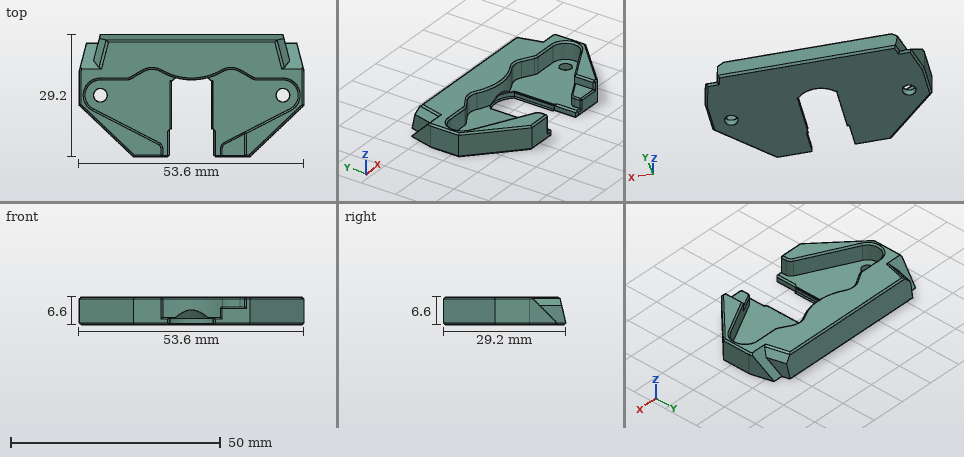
import cadquery as cq
import math

width = 53.59
height = 6.6
front_y = -14.67
back_y = 14.52
half_width = width / 2
base_chamfer = 0.5
rim_chamfer = 0.45
inner_chamfer = 0.36

body_back_y = 6.3
side_front_y = -2.4
side_back_y = 5.8
front_half_width = 13.9

plan_taper = math.radians(14.5)
wedge_back_y = body_back_y + height - base_chamfer

tongue_back_half_width = 21.76
tongue_bevel = 1.95
tongue_chamfer = 0.4
back_draft = math.radians(13.2)

floor_z = 1.75
hole_x = 21.75
hole_diameter = 3.2
end_radius = 3.65
wave_slope = math.radians(30)
bump_x = 9.42
bump_radius = 4.1
foot_corner_radius = 2.0
flank_slope = math.radians(27.2)
mouth_half_width = 6.87
mouth_corner_radius = 1.75

step_x = 12.6
step_z = 4.3

slot_half_width = 5.1
slot_front_half_width = 5.25
slot_step_y = -8.0
slot_arc_radius = 6.7
slot_arc_y = -0.95
lip_size = 0.33
side_bevel = 0.28
cone_base_z = floor_z - side_bevel
slot_shoulder_y = slot_arc_y + math.sqrt(slot_arc_radius**2 - slot_half_width**2)
slot_overlap_y = slot_step_y - 1.0

OVERLAP = 1.0
FAR = 2 * width
TOLERANCE = 0.01


def mirrored(points):
    """Close a right-hand point list with its mirror image."""
    return points + [(-x, y) for x, y in reversed(points)]


def tapered_half_width(half_width_at_start, length):
    return half_width_at_start - length * math.tan(plan_taper)


def prism(points, z_bottom, z_top):
    return cq.Workplane("XY").workplane(offset=z_bottom).polyline(points).close().extrude(z_top - z_bottom)


body_back_half_width = tapered_half_width(half_width, body_back_y - side_back_y)
front_corners = [
    (front_half_width, front_y),
    (half_width, side_front_y),
    (half_width, side_back_y),
    (body_back_half_width, body_back_y),
]
wedge_back_half_width = tapered_half_width(half_width, wedge_back_y - side_back_y)
tongue_front_half_width = tapered_half_width(tongue_back_half_width, body_back_y - back_y)


def make_base_band():
    """Lowest band of the part, shrinking downwards at 45 degrees."""
    tongue_at_wedge = tapered_half_width(tongue_back_half_width, wedge_back_y - back_y)
    rear_corners = [
        (wedge_back_half_width, wedge_back_y),
        (tongue_at_wedge, wedge_back_y),
        (tongue_back_half_width, back_y),
    ]
    outline = mirrored(front_corners + rear_corners)
    band = cq.Workplane("XY").workplane(offset=base_chamfer).polyline(outline).close()
    return band.extrude(-base_chamfer, taper=45)


def make_wedges():
    """Ramps on both sides of the tongue, falling backwards from the top of the body."""
    plan = mirrored([(body_back_half_width, body_back_y), (wedge_back_half_width, wedge_back_y)])
    profile = [(body_back_y, base_chamfer), (wedge_back_y, base_chamfer), (body_back_y, height)]
    ramp = cq.Workplane("YZ").polyline(profile).close().extrude(half_width, both=True)
    return prism(plan, base_chamfer, height).intersect(ramp)


def make_tongue():
    """Rear tongue with a sloping back and bevelled sides."""
    plan = mirrored([(tongue_front_half_width, body_back_y), (tongue_back_half_width, back_y)])
    top_back_y = back_y - (height - base_chamfer) * math.tan(back_draft)
    profile = [
        (body_back_y, base_chamfer),
        (back_y, base_chamfer),
        (top_back_y, height),
        (body_back_y, height),
    ]
    side = cq.Workplane("YZ").polyline(profile).close().extrude(half_width, both=True)
    tongue = prism(plan, base_chamfer, height)
    tongue = tongue.faces(">Z").edges("not #Y").edges("not |X").chamfer(tongue_bevel)
    tongue = tongue.intersect(side)
    return tongue.faces(">Z").edges("not <Y").chamfer(tongue_chamfer)


def round_corner(body, x, y, radius):
    """Fillet the upright edge that stands at (x, y)."""
    low = (x - TOLERANCE, y - TOLERANCE, 0)
    high = (x + TOLERANCE, y + TOLERANCE, FAR)
    at_corner = cq.selectors.BoxSelector(low, high)
    return body.edges("|Z").edges(at_corner).fillet(radius)


def make_pocket():
    """Pocket outline, traced from the front right corner over the wave to the front left corner."""
    bump_dx = bump_radius * math.sin(wave_slope)
    arc_drop = 1 - math.cos(wave_slope)
    wave_radius = bump_x / math.sin(wave_slope) - bump_radius
    bump_top_y = end_radius + (wave_radius + bump_radius) * arc_drop
    bump_low_y = bump_top_y - bump_radius * arc_drop
    slope_end_x = bump_x + bump_dx + (bump_low_y - end_radius) / math.tan(wave_slope)

    flank_x = hole_x + end_radius * math.sin(flank_slope)
    flank_y = -end_radius * math.cos(flank_slope)
    mouth_corner_y = flank_y - (flank_x - mouth_half_width) * math.tan(flank_slope)

    pocket = (
        cq.Workplane("XY")
        .workplane(offset=floor_z)
        .moveTo(mouth_half_width, front_y - OVERLAP)
        .lineTo(mouth_half_width, mouth_corner_y)
        .lineTo(flank_x, flank_y)
        .threePointArc((hole_x + end_radius, 0), (hole_x, end_radius))
        .lineTo(slope_end_x, end_radius)
        .lineTo(bump_x + bump_dx, bump_low_y)
        .threePointArc((bump_x, bump_top_y), (bump_x - bump_dx, bump_low_y))
        .threePointArc((0, end_radius), (-bump_x + bump_dx, bump_low_y))
        .threePointArc((-bump_x, bump_top_y), (-bump_x - bump_dx, bump_low_y))
        .lineTo(-slope_end_x, end_radius)
        .lineTo(-hole_x, end_radius)
        .threePointArc((-hole_x - end_radius, 0), (-flank_x, flank_y))
        .lineTo(-mouth_half_width, mouth_corner_y)
        .lineTo(-mouth_half_width, front_y - OVERLAP)
        .close()
        .extrude(height - floor_z + OVERLAP)
    )
    for side in (-1, 1):
        pocket = round_corner(pocket, side * mouth_half_width, mouth_corner_y, mouth_corner_radius)
        pocket = round_corner(pocket, side * slope_end_x, end_radius, foot_corner_radius)
    return pocket


def make_step():
    """Cut beside the mouth that lowers the right flank, reaching into the pocket."""
    tool_front_y = front_y - OVERLAP
    return prism([(0, tool_front_y), (step_x, tool_front_y), (step_x, 0), (0, 0)], step_z, height + OVERLAP)


def slot_section(inset):
    """U-shaped slot outline with an arc at the back, moved inwards by inset."""
    half = slot_half_width - inset
    radius = slot_arc_radius - inset
    shoulder_y = slot_arc_y + math.sqrt(radius**2 - half**2)
    return (
        cq.Workplane("XY")
        .moveTo(-half, slot_overlap_y)
        .lineTo(half, slot_overlap_y)
        .lineTo(half, shoulder_y)
        .threePointArc((0, slot_arc_y + radius), (-half, shoulder_y))
        .close()
    )


def make_slot():
    """Lower band of the slot: a thin inward lip at the bottom, then upright walls."""
    lip_opening = slot_section(lip_size).extrude(lip_size, taper=-45)
    straight = slot_section(0).extrude(cone_base_z - lip_size).translate((0, 0, lip_size))
    return lip_opening.union(straight)


def make_slot_side_bevel():
    """Upper band of the slot: ledges over the side walls, bevelled down from the floor."""
    profile = mirrored([(slot_half_width - side_bevel, cone_base_z), (slot_half_width, floor_z)])
    band = cq.Workplane("XZ").polyline(profile).close().extrude(slot_shoulder_y - slot_overlap_y)
    return band.translate((0, slot_shoulder_y, 0))


def make_slot_front():
    """Slightly wider front stretch of the slot, joined to the rest by 45 degree flares."""
    flare = slot_front_half_width - slot_half_width
    plan = mirrored([
        (slot_front_half_width, front_y),
        (slot_front_half_width, slot_step_y - flare),
        (slot_half_width, slot_step_y),
    ])
    return prism(plan, 0, floor_z)


def make_back_cone():
    """45 degree cone over the back arc of the slot, undercutting the pocket wall."""
    base = cq.Workplane("XY").workplane(offset=cone_base_z).center(0, slot_arc_y).circle(slot_arc_radius)
    cone = base.extrude(height - cone_base_z, taper=45)
    behind_shoulder = cq.Workplane("XY").box(2 * slot_half_width, FAR, FAR)
    behind_shoulder = behind_shoulder.translate((0, slot_shoulder_y + FAR / 2, 0))
    return cone.intersect(behind_shoulder)


def make_holes():
    centres = [(-hole_x, 0), (hole_x, 0)]
    return cq.Workplane("XY").pushPoints(centres).circle(hole_diameter / 2).extrude(height)


def is_inner_edge(edge):
    """Edges of the step and of the floor at the front, and of the mouth below the step."""
    box = edge.BoundingBox()
    at_step_level = box.zmin > step_z - TOLERANCE and box.zmax < step_z + TOLERANCE
    at_step = at_step_level and edge.Center().x < step_x - TOLERANCE
    at_front = box.ymax < front_y + TOLERANCE
    at_floor = at_front and abs(box.zmin - floor_z) < TOLERANCE and box.zmax < step_z + TOLERANCE
    return at_step or at_floor


def is_rim_edge(edge):
    """Edges of the body top, the front face above the base band and the front slot at floor level."""
    box = edge.BoundingBox()
    middle = edge.Center()
    at_top = box.zmin > height - TOLERANCE and box.ymin < body_back_y - TOLERANCE
    at_front = box.ymax < front_y + TOLERANCE and abs(middle.x) < front_half_width - TOLERANCE
    above_step = box.zmax > step_z + TOLERANCE
    slot_corner = abs(box.zmax - floor_z) < TOLERANCE and box.zmin < floor_z - TOLERANCE
    at_slot = abs(abs(middle.x) - slot_front_half_width) < TOLERANCE and abs(box.zmin - floor_z) < TOLERANCE
    return at_top or (at_front and (above_step or slot_corner)) or at_slot


def chamfer_edges(body, size, wanted):
    solid = body.solids().val()
    edges = [edge for edge in solid.Edges() if wanted(edge)]
    return cq.Workplane("XY").newObject([solid.chamfer(size, None, edges)])


part = make_base_band()
part = part.union(prism(mirrored(front_corners), base_chamfer, height))
part = part.union(make_wedges()).union(make_tongue())
part = part.cut(make_pocket()).cut(make_step()).cut(make_slot())
part = part.cut(make_slot_front()).cut(make_slot_side_bevel()).cut(make_back_cone())
part = part.cut(make_holes())
part = chamfer_edges(part, rim_chamfer, is_rim_edge)
part = chamfer_edges(part, inner_chamfer, is_inner_edge)
result = part